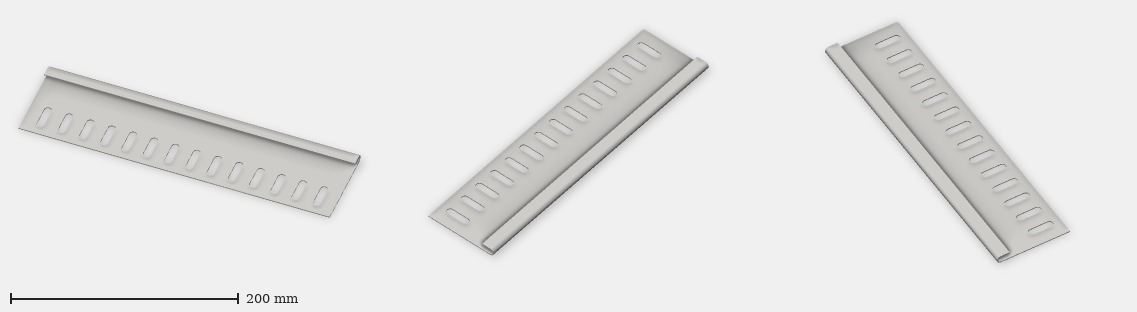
import cadquery as cq

length = 293.0
depth = 74.7
height = 8.0
thickness = 1.0

lip_depth = 13.0
outer_radius = height / 2
inner_radius = outer_radius - thickness

slot_count = 14
slot_length = 25.0
slot_width = 7.0
slot_end_margin = 16.5
slot_center_y = 20.2
slot_pitch = (length - 2 * slot_end_margin) / (slot_count - 1)


def folded_sheet():
    """Flat sheet whose back edge is folded over in a half circle to a short lip."""
    bend_y = depth - outer_radius
    lip_y = depth - lip_depth
    return (
        cq.Workplane("YZ")
        .moveTo(0, 0)
        .lineTo(bend_y, 0)
        .threePointArc((depth, outer_radius), (bend_y, height))
        .lineTo(lip_y, height)
        .lineTo(lip_y, height - thickness)
        .lineTo(bend_y, height - thickness)
        .threePointArc((bend_y + inner_radius, outer_radius), (bend_y, thickness))
        .lineTo(0, thickness)
        .close()
        .extrude(length)
    )


def slot_cutters():
    """Evenly spaced slots that run front to back and pass through the flat sheet."""
    centers = [(slot_end_margin + i * slot_pitch, slot_center_y) for i in range(slot_count)]
    return (
        cq.Workplane("XY")
        .pushPoints(centers)
        .slot2D(slot_length, slot_width, 90)
        .extrude(thickness)
    )


result = folded_sheet().cut(slot_cutters())